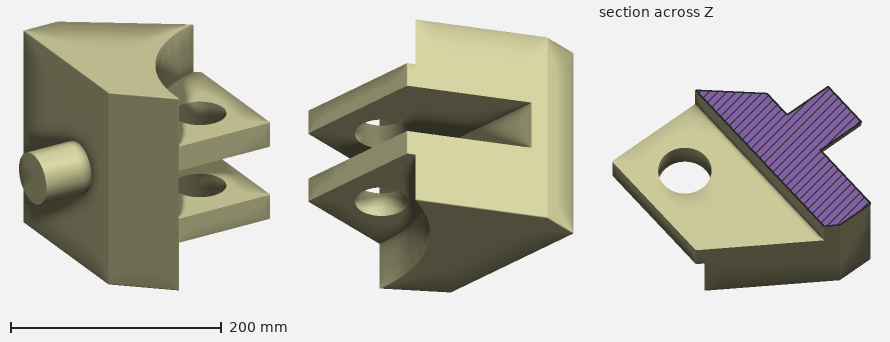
import cadquery as cq
import math

width = 203.2
depth = 152.4
height = 203.2
left_face_depth = 38.1
back_left_x = 76.2
right_face_start_y = 50.8
right_slope_angle = 42.0
edge_radius = 1.27

lug_height = 101.6
concave_radius = 127.5
concave_center_x = 195.0
concave_center_y = right_face_start_y + concave_radius

slot_height = 50.8
slot_floor_y = 50.8
hole_diameter = 50.8
hole_x = 151.6
hole_y = 105.0

pin_diameter = 50.8
pin_length = 50.0
pin_x = width / 2


def make_block():
    """Six-sided block, centred on Z = 0, with every edge rounded."""
    front_right_x = width - right_face_start_y * math.tan(math.radians(right_slope_angle))
    outline = [
        (0, 0),
        (front_right_x, 0),
        (width, right_face_start_y),
        (width, depth),
        (back_left_x, depth),
        (0, left_face_depth),
    ]
    block = cq.Workplane("XY").polyline(outline).close().extrude(height / 2, both=True)
    return block.edges().fillet(edge_radius)


def make_concave_cutter(side):
    """Cylinder that clears the block above (side 1) or below (side -1) the lug."""
    lug_face_z = side * lug_height / 2
    clearing_depth = (height - lug_height) / 2
    return (
        cq.Workplane("XY", origin=(concave_center_x, concave_center_y, lug_face_z))
        .circle(concave_radius)
        .extrude(side * clearing_depth)
    )


def make_slot():
    """Slot across the full width, open at the back."""
    slot_depth = depth - slot_floor_y
    return (
        cq.Workplane("XY", origin=(0, slot_floor_y, 0))
        .box(width, slot_depth, slot_height, centered=(False, False, True))
    )


def make_hole():
    """Hole along Z through both cheeks of the lug."""
    return (
        cq.Workplane("XY", origin=(hole_x, hole_y, 0))
        .circle(hole_diameter / 2)
        .extrude(lug_height / 2, both=True)
    )


def make_pin():
    """Pin pointing along -Y from the front face."""
    return (
        cq.Workplane("XZ", origin=(pin_x, 0, 0))
        .circle(pin_diameter / 2)
        .extrude(pin_length)
    )


result = make_block()
for side in (1, -1):
    result = result.cut(make_concave_cutter(side))
result = result.cut(make_slot())
result = result.cut(make_hole())
result = result.union(make_pin())